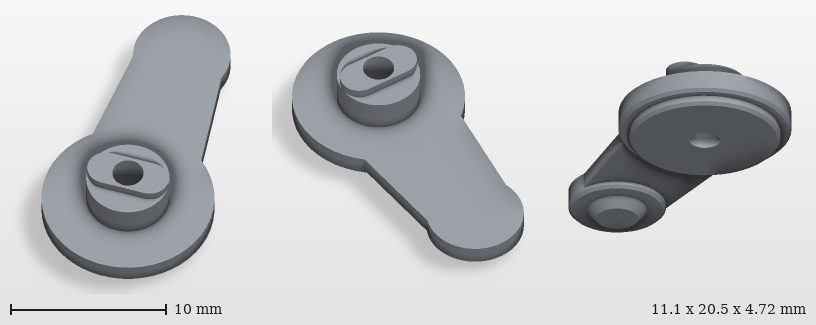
import cadquery as cq

pad_height = 0.6
disc_top = 2.02
arm_bottom = 1.0
boss_top = 4.12
overall_height = 4.72

hub_diameter = 11.1
hub_pad_diameter = 9.7
boss_diameter = 5.36
key_width = 2.42
bore_diameter = 2.0

overall_length = 20.52
tip_diameter = 6.26
tip_y = overall_length - hub_diameter / 2 - tip_diameter / 2
foot_top_diameter = 3.9
foot_bottom_diameter = foot_top_diameter - 2 * pad_height

arm_hub_half_width = 3.63
arm_tip_half_width = 2.96

edge_chamfer = 0.2


def chamfered_disc(diameter, bottom, top, y=0):
    """Upright disc with its lower rim chamfered."""
    disc = cq.Workplane("XY", origin=(0, y, bottom)).circle(diameter / 2).extrude(top - bottom)
    return disc.faces("<Z").edges().chamfer(edge_chamfer)


def make_arm():
    """Thin tapered web whose corners lie on the rims of the hub and tip discs."""
    hub_corner_y = ((hub_diameter / 2) ** 2 - arm_hub_half_width**2) ** 0.5
    tip_corner_y = tip_y - ((tip_diameter / 2) ** 2 - arm_tip_half_width**2) ** 0.5
    corners = [
        (-arm_hub_half_width, hub_corner_y),
        (arm_hub_half_width, hub_corner_y),
        (arm_tip_half_width, tip_corner_y),
        (-arm_tip_half_width, tip_corner_y),
    ]
    outline = cq.Workplane("XY", origin=(0, 0, arm_bottom)).polyline(corners).close()
    return outline.extrude(disc_top - arm_bottom)


def make_foot():
    """Conical foot under the tip, narrowing downwards."""
    return (
        cq.Workplane("XY", origin=(0, tip_y, 0))
        .circle(foot_bottom_diameter / 2)
        .workplane(offset=pad_height)
        .circle(foot_top_diameter / 2)
        .loft()
    )


def make_boss():
    """Round boss carrying a round-ended drive key across its top."""
    boss = cq.Workplane("XY").workplane(offset=disc_top).circle(boss_diameter / 2).extrude(boss_top - disc_top)
    key = (
        cq.Workplane("XY")
        .workplane(offset=boss_top)
        .slot2D(boss_diameter, key_width)
        .extrude(overall_height - boss_top)
    )
    return boss.union(key)


hub = chamfered_disc(hub_diameter, pad_height, disc_top)
hub_pad = chamfered_disc(hub_pad_diameter, 0, pad_height)
tip = chamfered_disc(tip_diameter, pad_height, disc_top, tip_y)
bore = cq.Workplane("XY").circle(bore_diameter / 2).extrude(overall_height)

lever = hub.union(hub_pad).union(tip).union(make_arm()).union(make_foot()).union(make_boss())
result = lever.cut(bore)